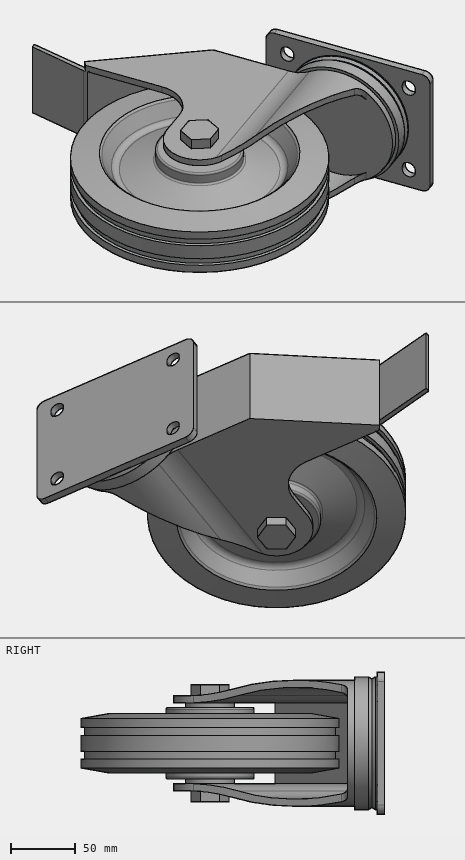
import cadquery as cq
import math


tread_radius = 200.0 / 2
groove_radius = 194.5 / 2
rib_half_width = 6.2
groove_side = 12.5
tread_edge = 19.2
rim_face = 23.2
rim_radius = 77.5
rim_lip_radius = 75.7
rim_lip_height = 21.5
dish_wall_radius = 68.3
dish_wall_height = 10.5
dish_floor_radius = 62.0
dish_floor_height = 8.0
hub_foot_height = 17.5
hub_radius = 68.3 / 2
hub_face = 27.8
hub_fillet = 1.5
spacer_radius = 38.0 / 2

cheek_outer = 36.8
sheet_thickness = 5.5
cheek_inner = cheek_outer - sheet_thickness
fork_top = 112.0
fork_roof = fork_top - sheet_thickness
swivel_x = 65.5
fork_round_radius = 48.8
bend_start_x = 22.2
cheek_end_radius = 28.0
cheek_bottom_y = 50.0
cheek_throat_radius = 28.5
arm_tip_x = -125.0
arm_tip_y = 54.5
arm_tip_bottom_x = -122.5
arm_top_x = -42.5
front_edge_x = 86.2
front_edge_fillet = 8.5

lever_end_x = -173.7
lever_end_top = 65.2
lever_end_bottom = 61.5
lever_root_x = -124.2
sheet_underside_top_x = -42.3
sheet_underside_bottom_x = -120.5

bolt_across_flats = 25.5
bolt_head_height = 8.5

plate_length = 141.0
plate_width = 110.0
plate_thickness = 6.0
plate_top = 135.0
plate_bottom = plate_top - plate_thickness
plate_center_x = 65.0
plate_corner_radius = 7.0
slot_pitch_x = 104.5
slot_pitch_z = 77.2
slot_width = 11.0
slot_length = 13.0
bearing_radius = 103.0 / 2
bearing_groove_y = 125.0
bearing_groove_half = 2.8
bearing_groove_depth = 1.5


def half_wheel():
    """Upper half of the wheel with its hub and spacer, turned about the axle."""
    profile = (
        cq.Workplane("XZ")
        .lineTo(tread_radius, 0)
        .lineTo(tread_radius, rib_half_width)
        .lineTo(groove_radius, rib_half_width)
        .lineTo(groove_radius, groove_side)
        .lineTo(tread_radius, groove_side)
        .lineTo(tread_radius, tread_edge)
        .lineTo(rim_radius, rim_face)
        .lineTo(rim_lip_radius, rim_lip_height)
        .lineTo(dish_wall_radius, dish_wall_height)
        .tangentArcPoint((dish_floor_radius, dish_floor_height), relative=False)
        .lineTo(hub_radius + hub_fillet, hub_foot_height)
        .radiusArc((hub_radius, hub_foot_height + hub_fillet), hub_fillet)
        .lineTo(hub_radius, hub_face - hub_fillet)
        .radiusArc((hub_radius - hub_fillet, hub_face), -hub_fillet)
        .lineTo(spacer_radius, hub_face)
        .lineTo(spacer_radius, cheek_inner)
        .lineTo(0, cheek_inner)
        .close()
    )
    return profile.revolve(360, (0, 0, 0), (0, 1, 0))


def fork_plan(half_width, round_radius, top_y):
    """Plan of the fork in XZ, extruded down from top_y: straight cheeks bent outwards around a disc."""
    offset = swivel_x - bend_start_x
    bend_radius = (offset**2 + half_width**2 - round_radius**2) / (2 * (round_radius - half_width))
    bend_angle = math.atan2(offset, half_width + bend_radius)
    tangent_x = swivel_x - round_radius * math.sin(bend_angle)
    tangent_z = round_radius * math.cos(bend_angle)
    depth = top_y + 2 * cheek_end_radius
    return (
        cq.Workplane("XZ", origin=(0, top_y, 0))
        .moveTo(arm_tip_x, -half_width)
        .lineTo(bend_start_x, -half_width)
        .radiusArc((tangent_x, -tangent_z), bend_radius)
        .threePointArc((swivel_x + round_radius, 0), (tangent_x, tangent_z))
        .radiusArc((bend_start_x, half_width), bend_radius)
        .lineTo(arm_tip_x, half_width)
        .close()
        .extrude(depth)
    )


def fork_side():
    """Side outline of the fork in XY, as a block wider than the fork."""
    corner_angle = math.atan2(fork_roof, front_edge_x)
    corner_distance = math.hypot(front_edge_x, fork_roof)
    tangent_angle = corner_angle - math.acos(cheek_end_radius / corner_distance)
    edge_angle = tangent_angle + math.pi / 2
    tangent_point = (
        cheek_end_radius * math.cos(tangent_angle),
        cheek_end_radius * math.sin(tangent_angle),
    )
    fillet_reach = front_edge_fillet * math.tan(edge_angle / 2)
    fillet_start = (
        front_edge_x - fillet_reach * math.cos(edge_angle),
        fork_roof - fillet_reach * math.sin(edge_angle),
    )
    front_x = swivel_x + fork_round_radius
    return (
        cq.Workplane("XY")
        .moveTo(arm_top_x, fork_top)
        .lineTo(arm_tip_x, arm_tip_y)
        .lineTo(arm_tip_bottom_x, cheek_bottom_y)
        .lineTo(-cheek_end_radius - cheek_throat_radius, cheek_bottom_y)
        .radiusArc((-cheek_end_radius, cheek_bottom_y - cheek_throat_radius), cheek_throat_radius)
        .lineTo(-cheek_end_radius, 0)
        .threePointArc((0, -cheek_end_radius), tangent_point)
        .lineTo(*fillet_start)
        .radiusArc((front_edge_x + fillet_reach, fork_roof), front_edge_fillet)
        .lineTo(front_x, fork_roof)
        .lineTo(front_x, fork_top)
        .close()
        .extrude(fork_round_radius, both=True)
    )


def fork():
    """Bent sheet fork: two cheeks hanging from a flat roof, open towards the brake lever."""
    outside = fork_plan(cheek_outer, fork_round_radius, fork_top)
    cavity = fork_plan(cheek_inner, fork_round_radius - sheet_thickness, fork_roof)
    return outside.intersect(fork_side()).cut(cavity)


def brake_sheet():
    """Sloping sheet between the cheeks with the pedal lever at its lower end."""
    slope = (fork_top - arm_tip_y) / (arm_top_x - arm_tip_x)
    sheet_top_x = arm_top_x - (fork_top - fork_roof) / slope
    outline = [
        (lever_end_x, lever_end_top),
        (arm_tip_x, arm_tip_y),
        (sheet_top_x, fork_roof),
        (sheet_underside_top_x, fork_roof),
        (sheet_underside_bottom_x, cheek_bottom_y),
        (lever_root_x, cheek_bottom_y),
        (lever_end_x, lever_end_bottom),
    ]
    return cq.Workplane("XY").polyline(outline).close().extrude(cheek_inner, both=True)


def bolt_heads():
    """Hexagon heads on both cheeks, with two flats facing +X and -X."""
    across_corners = bolt_across_flats / math.cos(math.pi / 6)
    upper = (
        cq.Workplane("XY", origin=(0, 0, cheek_outer))
        .transformed(rotate=(0, 0, 30))
        .polygon(6, across_corners)
        .extrude(bolt_head_height)
    )
    return upper.union(upper.mirror("XY"))


def bearing():
    """Swivel bearing drum with a V groove around it."""
    profile = [
        (0, fork_top),
        (bearing_radius, fork_top),
        (bearing_radius, bearing_groove_y - bearing_groove_half),
        (bearing_radius - bearing_groove_depth, bearing_groove_y),
        (bearing_radius, bearing_groove_y + bearing_groove_half),
        (bearing_radius, plate_bottom),
        (0, plate_bottom),
    ]
    drum = cq.Workplane("XY").polyline(profile).close().revolve(360, (0, 0, 0), (0, 1, 0))
    return drum.translate((swivel_x, 0, 0))


def mounting_plate():
    """Plate with rounded corners and four slots lengthened along Z."""
    return (
        cq.Workplane("XZ", origin=(plate_center_x, plate_top, 0))
        .rect(plate_length, plate_width)
        .extrude(plate_thickness)
        .edges("|Y")
        .fillet(plate_corner_radius)
        .faces(">Y")
        .workplane(origin=(plate_center_x, plate_top, 0))
        .rarray(slot_pitch_x, slot_pitch_z, 2, 2)
        .slot2D(slot_length, slot_width, 90)
        .cutThruAll()
    )


upper_wheel = half_wheel()
wheel = upper_wheel.union(upper_wheel.mirror("XY"))

result = (
    fork()
    .union(brake_sheet())
    .union(wheel)
    .union(bolt_heads())
    .union(bearing())
    .union(mounting_plate())
)